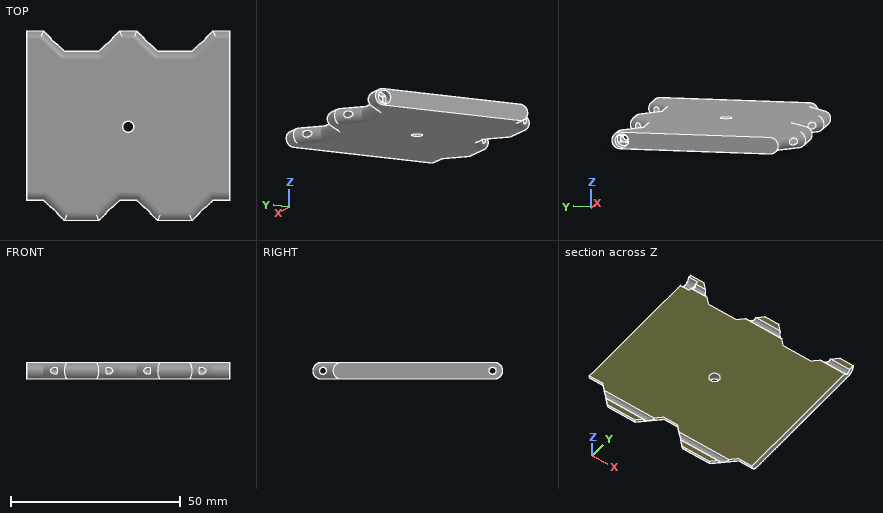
import cadquery as cq
import math

length = 60.0
width = 56.0
thickness = 5.0

knuckle_depth = 6.0
slope_run = 6.2
middle_flat = 5.0
end_flat = 5.0
pocket_start = middle_flat / 2 + slope_run
knuckle_start = length / 2 - end_flat
pocket_end = knuckle_start - slope_run

edge_radius = thickness / 2

center_hole_diameter = 3.2
center_hole_y = -0.3

pin_diameter = 2.0
pin_edge_distance = 3.0
pin_y = width / 2 - pin_edge_distance

head_diameter = 4.0
head_depth = 3.0
bridge_step = 0.2


def rim_points(outer_y):
    """Zigzag edge from -X to +X, symmetric about X = 0, stepping down from outer_y."""
    inner_y = outer_y - knuckle_depth
    right_half = [
        (middle_flat / 2, outer_y),
        (pocket_start, inner_y),
        (pocket_end, inner_y),
        (knuckle_start, outer_y),
        (length / 2, outer_y),
    ]
    left_half = [(-x, y) for x, y in reversed(right_half)]
    return left_half + right_half


def right_normal_angle(start, end):
    """Direction angle of the normal pointing to the right of a line."""
    return math.atan2(end[1] - start[1], end[0] - start[0]) - math.pi / 2


def inset_point(corner, angle, distance=edge_radius):
    return (corner[0] + distance * math.cos(angle), corner[1] + distance * math.sin(angle))


def add_rim_axis(sketch, points):
    """Continue sketch along the axis of a rounded rim, inset to the right of points.

    The axis has sharp bends inside convex corners and arcs around concave ones.
    """
    for before, corner, after in zip(points, points[1:], points[2:]):
        angle_in = right_normal_angle(before, corner)
        angle_out = right_normal_angle(corner, after)
        turn = math.remainder(angle_out - angle_in, 2 * math.pi)
        angle_mid = angle_in + turn / 2
        if turn > 0:
            sketch = sketch.lineTo(*inset_point(corner, angle_in))
            sketch = sketch.threePointArc(inset_point(corner, angle_mid), inset_point(corner, angle_out))
        else:
            bend_distance = edge_radius / math.cos(turn / 2)
            sketch = sketch.lineTo(*inset_point(corner, angle_mid, bend_distance))
    last_angle = right_normal_angle(points[-2], points[-1])
    return sketch.lineTo(*inset_point(points[-1], last_angle))


def rim_start(points):
    return inset_point(points[0], right_normal_angle(points[0], points[1]))


def make_rim(points):
    """Round bar swept along the axis of one rim."""
    start_x, start_y = rim_start(points)
    axis = add_rim_axis(cq.Workplane("XY").moveTo(start_x, start_y), points)
    section = cq.Workplane("YZ", origin=(start_x, start_y, 0)).circle(edge_radius)
    return section.sweep(axis, transition="right")


def make_plate():
    """Flat plate between the two rim axes, joined to the round rims."""
    upper_rim = rim_points(width / 2)
    lower_rim = rim_points(-width / 2 + knuckle_depth)[::-1]
    core = add_rim_axis(cq.Workplane("XY").moveTo(*rim_start(upper_rim)), upper_rim)
    core = add_rim_axis(core.lineTo(*rim_start(lower_rim)), lower_rim)
    plate = core.close().extrude(thickness / 2, both=True)
    return plate.union(make_rim(upper_rim)).union(make_rim(lower_rim))


def end_plane(y):
    """Workplane on the -X end at the given Y, facing into the plate."""
    return cq.Workplane("YZ", origin=(-length / 2, y, 0))


def make_pin_hole(y):
    return end_plane(y).circle(pin_diameter / 2).extrude(length)


def make_head_recess(y):
    slot_depth = head_depth + bridge_step
    square_depth = slot_depth + bridge_step
    bore = end_plane(y).circle(head_diameter / 2).extrude(head_depth)
    slot_band = end_plane(y).rect(head_diameter, pin_diameter).extrude(slot_depth)
    slot = end_plane(y).circle(head_diameter / 2).extrude(slot_depth).intersect(slot_band)
    square = end_plane(y).rect(pin_diameter, pin_diameter).extrude(square_depth)
    return bore.union(slot).union(square)


def make_center_hole():
    return (
        cq.Workplane("XY")
        .center(0, center_hole_y)
        .circle(center_hole_diameter / 2)
        .extrude(thickness, both=True)
    )


result = make_plate().cut(make_center_hole())
for hole_y in (pin_y, -pin_y):
    result = result.cut(make_pin_hole(hole_y))
result = result.cut(make_head_recess(pin_y))